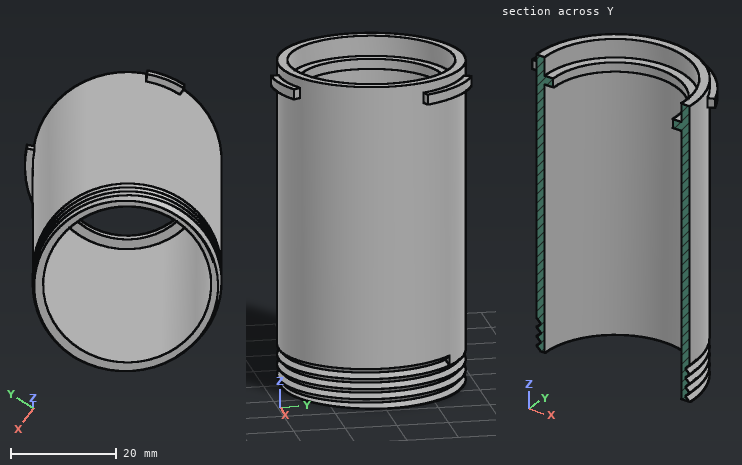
import cadquery as cq
import math

height = 64.0
outer_radius = 18.0
bore_radius = 16.0

lip_radius = 14.0
lip_depth = 4.0
lip_thickness = 2.0

tab_spans = [(22.5, 67.5), (157.5, 180.0), (270.0, 300.0)]
tab_outer_radius = 19.5
tab_overlap = 0.5
tab_height = 2.0
tab_top_depth = 2.0

pitch = 2.0
thread_depth = 1.0
crest_flat = 0.02
thread_start_height = -pitch / 2
groove_full_turns = 4
groove_end_angle = 45.0
groove_overshoot = 0.01


def make_sleeve():
    lip_top = height - lip_depth
    lip_bottom = lip_top - lip_thickness
    sleeve = cq.Workplane("XY").circle(outer_radius).circle(bore_radius).extrude(height)
    lip = (
        cq.Workplane("XY")
        .workplane(offset=lip_bottom)
        .circle(outer_radius)
        .circle(lip_radius)
        .extrude(lip_thickness)
    )
    return sleeve.union(lip)


def polar_point(radius, angle):
    return (
        radius * math.cos(math.radians(angle)),
        radius * math.sin(math.radians(angle)),
    )


def make_tab(start_angle, end_angle):
    inner_radius = outer_radius - tab_overlap
    middle_angle = (start_angle + end_angle) / 2
    return (
        cq.Workplane("XY")
        .workplane(offset=height - tab_top_depth - tab_height)
        .moveTo(*polar_point(inner_radius, start_angle))
        .lineTo(*polar_point(tab_outer_radius, start_angle))
        .threePointArc(
            polar_point(tab_outer_radius, middle_angle),
            polar_point(tab_outer_radius, end_angle),
        )
        .lineTo(*polar_point(inner_radius, end_angle))
        .threePointArc(
            polar_point(inner_radius, middle_angle),
            polar_point(inner_radius, start_angle),
        )
        .close()
        .extrude(tab_height)
    )


def make_thread_groove():
    """Helical V cutter, starting below the part and ending just past +X."""
    groove_length = (groove_full_turns + groove_end_angle / 360) * pitch
    root_radius = outer_radius - thread_depth
    mouth_radius = outer_radius + groove_overshoot
    flank_slope = (pitch - crest_flat) / 2 / thread_depth
    half_mouth = flank_slope * (mouth_radius - root_radius)
    helix = cq.Wire.makeHelix(
        pitch, groove_length, root_radius, center=cq.Vector(0, 0, thread_start_height)
    )
    return (
        cq.Workplane("XZ")
        .moveTo(root_radius, thread_start_height)
        .lineTo(mouth_radius, thread_start_height - half_mouth)
        .lineTo(mouth_radius, thread_start_height + half_mouth)
        .close()
        .sweep(cq.Workplane(obj=helix), isFrenet=True)
    )


part = make_sleeve().cut(make_thread_groove())
for start_angle, end_angle in tab_spans:
    part = part.union(make_tab(start_angle, end_angle))

result = part.solids()